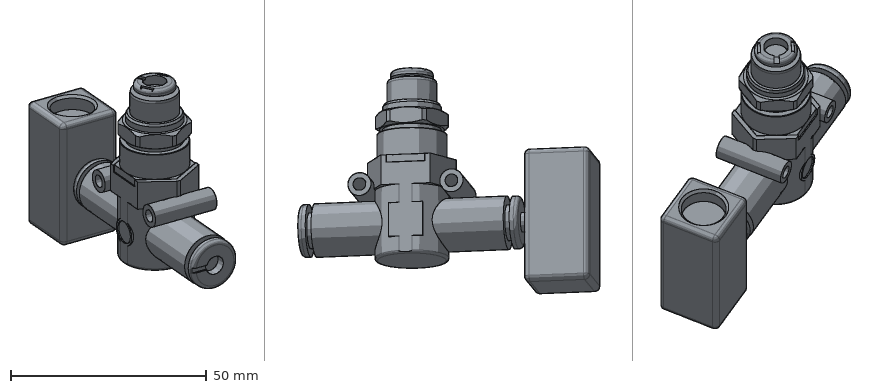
import cadquery as cq
import math


body_diameter = 19.0
body_bottom = -8.9
body_edge_radius = 0.7
body_depth = 18.7
body_face = body_depth / 2

collar_bottom = 9.2
collar_top = 17.0
collar_across_flats = 20.45
collar_corner_diameter = 23.05
insert_across_flats = 18.0
insert_rise = 0.1
window_width = 10.1
window_height = 1.9

barrel_diameter = insert_across_flats
barrel_top = 24.1
barrel_chamfer = 0.15
thread_diameter = 15.0
thread_top = 32.0
thread_chamfer = 0.4
sleeve_diameter = 12.8
sleeve_top = 38.1
sleeve_chamfer = 0.15
lead_in_height = 0.7
top_neck_diameter = 7.2
top_flange_bottom = 39.0
top_flange_diameter = 11.0
top_flange_height = 1.75
top_bore_diameter = 6.2

nut_bottom = 25.4
nut_top = 29.7
nut_across_flats = 16.95
nut_corner_diameter = 18.9
nut_chamfer_width = 1.15
nut_chamfer_height = nut_chamfer_width * math.tan(math.radians(30))

pipe_diameter = 13.8
pipe_end = 25.0
side_neck_diameter = 9.2
side_flange_start = 26.55
side_flange_end = 28.7
side_flange_diameter = 13.6

flange_radius = 1.1
bore_depth = 2.5
slot_width = 1.4
slot_depth = 0.5
top_slot_angle = 211
key_slot_length = 3.5
key_slot_width = 0.8
key_slot_offset = 4.35

tube_diameter = 6.0
tube_hole_diameter = 3.3
tube_x = 12.0
tube_z = 9.6

boss_diameter = 7.3
boss_recess_diameter = 6.0
boss_recess_depth = 0.4
pad_size = 8.85

block_width = 16.95
block_height = 34.8
block_left = -47.6
block_bottom = -17.3
block_radius = 1.4
block_hole_diameter = 11.45
block_hole_depth = 4.0
block_hole_chamfer = 0.7
stem_diameter = 5.0


def cylinder(diameter, bottom, top):
    """Upright cylinder on the Z axis."""
    return cq.Workplane("XY").workplane(offset=bottom).circle(diameter / 2).extrude(top - bottom)


def hexagon(across_flats, bottom, top):
    """Upright hexagonal prism with flats facing -Y and +Y."""
    corner_diameter = across_flats / math.cos(math.radians(30))
    return cq.Workplane("XY").workplane(offset=bottom).polygon(6, corner_diameter).extrude(top - bottom)


def flange(diameter, height, bore_diameter):
    """Release flange standing on Z = 0, with a rounded outer edge and a radial slot towards +X."""
    disc = cylinder(diameter, 0, height).faces(">Z").edges().fillet(flange_radius)
    slot_bottom = height - slot_depth
    slot = cq.Workplane("XY").box(diameter / 2, slot_width, slot_depth, centered=(False, True, False))
    disc = disc.cut(slot.translate((0, 0, slot_bottom)))
    return disc.cut(cylinder(bore_diameter, 0, height))


def body_core():
    """Round body with the collar, trimmed to two flats."""
    core = cylinder(body_diameter, body_bottom, collar_bottom).faces("<Z").edges().fillet(body_edge_radius)
    collar = hexagon(collar_across_flats, collar_bottom, collar_top)
    collar = collar.intersect(cylinder(collar_corner_diameter, collar_bottom, collar_top))
    trim = cq.Workplane("XY").box(2 * body_diameter, body_depth, 2 * collar_top)
    return core.union(collar).intersect(trim)


def collar_window(side):
    """Shallow recess at the top of the collar flat on the given Y side."""
    depth = (body_depth - insert_across_flats) / 2
    middle_y = side * (body_face - depth / 2)
    window = cq.Workplane("XY").box(window_width, depth, window_height)
    return window.translate((0, middle_y, collar_top - window_height / 2))


def lock_nut():
    """Hexagonal nut with its corners turned down and both ends chamfered."""
    blank = cylinder(nut_corner_diameter, nut_bottom, nut_top)
    blank = blank.faces("<Z").edges().chamfer(nut_chamfer_height, nut_chamfer_width)
    blank = blank.faces(">Z").edges().chamfer(nut_chamfer_height, nut_chamfer_width)
    return hexagon(nut_across_flats, nut_bottom, nut_top).intersect(blank)


def top_flange():
    """Flange of the upright port, with two key slots parallel to its radial slot."""
    ring = flange(top_flange_diameter, top_flange_height, top_bore_diameter)
    key_z = top_flange_height - slot_depth / 2
    for side in (-1, 1):
        key_slot = cq.Workplane("XY").box(key_slot_length, key_slot_width, slot_depth)
        ring = ring.cut(key_slot.translate((0, side * key_slot_offset, key_z)))
    ring = ring.rotate((0, 0, 0), (0, 0, 1), top_slot_angle)
    return ring.translate((0, 0, top_flange_bottom))


def upright_port():
    """Barrel, thread, nut, sleeve and flange, from the collar upwards."""
    barrel = cylinder(barrel_diameter, collar_bottom, barrel_top).faces(">Z").edges().chamfer(barrel_chamfer)
    thread = cylinder(thread_diameter, barrel_top, thread_top)
    thread = thread.faces(">Z").edges().chamfer(lead_in_height, thread_chamfer)
    sleeve = cylinder(sleeve_diameter, thread_top, sleeve_top)
    sleeve = sleeve.faces(">Z").edges().chamfer(lead_in_height, sleeve_chamfer)
    neck = cylinder(top_neck_diameter, sleeve_top, top_flange_bottom)
    port = barrel.union(thread).union(lock_nut()).union(sleeve).union(neck).union(top_flange())
    port_top = top_flange_bottom + top_flange_height
    return port.cut(cylinder(top_bore_diameter, port_top - bore_depth, port_top))


def side_port(direction):
    """Pipe, neck and flange along X, with the radial flange slot towards -Y."""
    ring = flange(side_flange_diameter, side_flange_end - side_flange_start, stem_diameter)
    ring = ring.rotate((0, 0, 0), (0, 0, 1), -90).translate((0, 0, side_flange_start))
    neck = cylinder(side_neck_diameter, pipe_end, side_flange_start)
    port = cylinder(pipe_diameter, 0, pipe_end).union(neck).union(ring)
    port = port.cut(cylinder(stem_diameter, side_flange_end - bore_depth, side_flange_end))
    return port.rotate((0, 0, 0), (0, 1, 0), direction * 90)


def across_body(diameter, x, z):
    """Cylinder along Y over the full depth of the body."""
    rod = cq.Workplane("XZ").workplane(offset=-body_face).center(x, z).circle(diameter / 2)
    return rod.extrude(body_depth)


def front_boss():
    """Round boss flush with the -Y flat."""
    return cq.Workplane("XZ").circle(boss_diameter / 2).extrude(body_face)


def boss_recess():
    """Shallow round recess in the face of the boss."""
    recess = cq.Workplane("XZ").workplane(offset=body_face - boss_recess_depth)
    return recess.circle(boss_recess_diameter / 2).extrude(boss_recess_depth)


def back_pad():
    """Square pad flush with the +Y flat."""
    return cq.Workplane("XY").box(pad_size, body_face, pad_size, centered=(True, False, True))


def make_fitting():
    fitting = body_core()
    for side in (-1, 1):
        fitting = fitting.cut(collar_window(side))
    fitting = fitting.union(front_boss()).cut(boss_recess())
    fitting = fitting.union(hexagon(insert_across_flats, collar_bottom, collar_top + insert_rise))
    fitting = fitting.union(upright_port()).union(back_pad())
    for direction in (-1, 1):
        fitting = fitting.union(side_port(direction))
        fitting = fitting.union(across_body(tube_diameter, direction * tube_x, tube_z))
    for direction in (-1, 1):
        fitting = fitting.cut(across_body(tube_hole_diameter, direction * tube_x, tube_z))
    return fitting


def make_plug_block():
    """Rounded block with a blind hole in its top and a stem filling the -X port bore."""
    block = cq.Workplane("XY").box(block_width, block_width, block_height).edges().fillet(block_radius)
    block = block.faces(">Z").workplane().hole(block_hole_diameter, block_hole_depth)
    block = block.faces(">Z").edges("%CIRCLE").chamfer(block_hole_chamfer)
    block_middle_x = block_left + block_width / 2
    block = block.translate((block_middle_x, 0, block_bottom + block_height / 2))
    stem_end = bore_depth - side_flange_end
    stem = cq.Workplane("YZ").workplane(offset=block_middle_x).circle(stem_diameter / 2)
    stem = stem.extrude(stem_end - block_middle_x)
    return block.union(stem)


fitting = make_fitting()
plug_block = make_plug_block()
result = cq.Compound.makeCompound([fitting.val(), plug_block.val()])